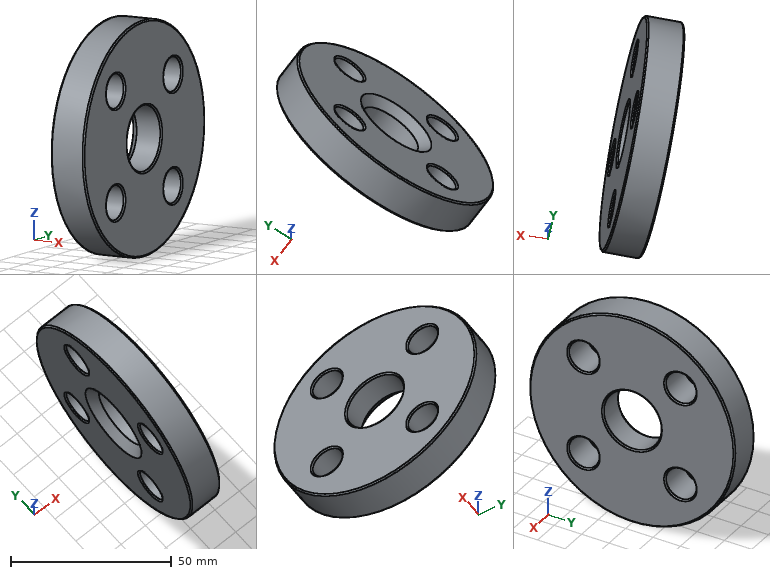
import cadquery as cq
import math

flange_diameter = 75.0
thickness = 12.0
edge_chamfer = 0.5

bore_diameter = 21.0
bore_mouth_diameter = 27.0
bore_mouth_depth = (bore_mouth_diameter - bore_diameter) / 2
bore_exit_chamfer = edge_chamfer

bolt_count = 4
bolt_circle_diameter = 50.0
bolt_hole_diameter = 11.0
bolt_hole_chamfer = edge_chamfer

face_x = thickness / 2


def revolve_about_x(profile_points):
    """Solid of revolution about X from (x, radius) points."""
    profile = cq.Workplane("XY").polyline(profile_points).close()
    return profile.revolve(360, (0, 0, 0), (1, 0, 0))


def flange_disc():
    radius = flange_diameter / 2
    return revolve_about_x([
        (-face_x, 0),
        (-face_x, radius - edge_chamfer),
        (-face_x + edge_chamfer, radius),
        (face_x - edge_chamfer, radius),
        (face_x, radius - edge_chamfer),
        (face_x, 0),
    ])


def bore_cutter():
    radius = bore_diameter / 2
    return revolve_about_x([
        (-face_x, 0),
        (-face_x, bore_mouth_diameter / 2),
        (-face_x + bore_mouth_depth, radius),
        (face_x - bore_exit_chamfer, radius),
        (face_x, radius + bore_exit_chamfer),
        (face_x, 0),
    ])


def bolt_hole_cutter():
    radius = bolt_hole_diameter / 2
    mouth_radius = radius + bolt_hole_chamfer
    return revolve_about_x([
        (-face_x, 0),
        (-face_x, mouth_radius),
        (-face_x + bolt_hole_chamfer, radius),
        (face_x - bolt_hole_chamfer, radius),
        (face_x, mouth_radius),
        (face_x, 0),
    ])


result = flange_disc().cut(bore_cutter())

pitch_angle = 2 * math.pi / bolt_count
for index in range(bolt_count):
    angle = (index + 0.5) * pitch_angle
    hole_y = bolt_circle_diameter / 2 * math.cos(angle)
    hole_z = bolt_circle_diameter / 2 * math.sin(angle)
    result = result.cut(bolt_hole_cutter().translate((0, hole_y, hole_z)))